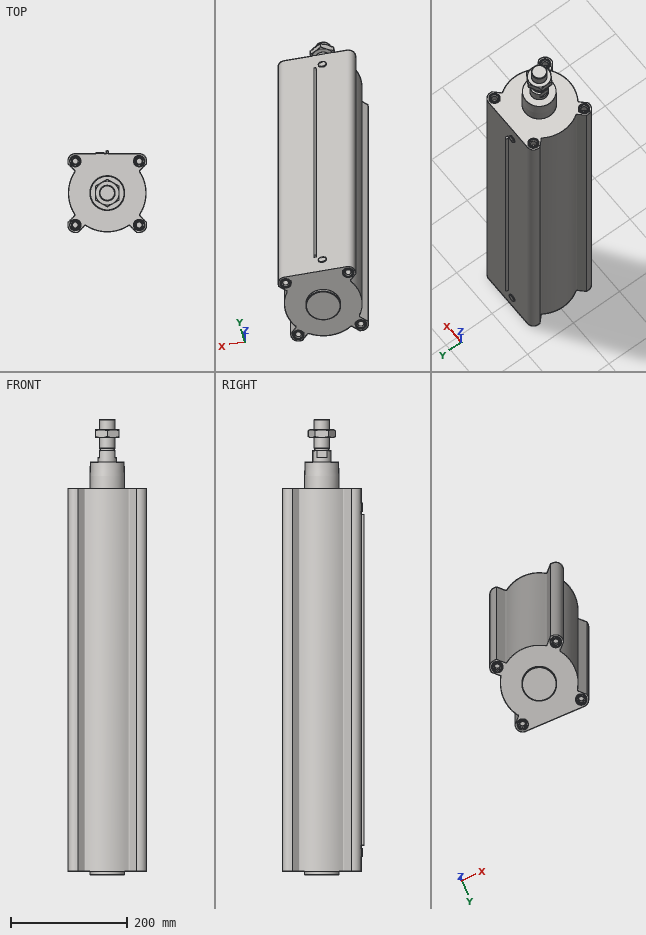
import cadquery as cq
import math

housing_length = 660.0
housing_half_width = 68.0
barrel_radius = 67.0
screw_spacing = 110.0
corner_radius = housing_half_width - screw_spacing / 2
lobe_flat_width = 4.2
valley_radius = 2.0

collar_diameter = 60.0
front_collar_height = 45.0
front_collar_base_height = 21.0
front_collar_nose_diameter = 58.0
rear_collar_height = 6.0
rear_collar_chamfer = 1.0

screw_recess_diameter = 19.6
screw_recess_depth = 4.0
screw_head_diameter = 18.0
screw_thread_diameter = 10.11
screw_thread_depth = 16.0
screw_countersink_diameter = 14.0

rail_width = 4.0
rail_height = 5.0
rail_edge_radius = 1.5
rail_end_distance = 45.0
pad_diameter = 14.0
pad_height = 2.0
pad_offset_x = -12.5
pad_end_distance = 32.5

rod_diameter = 32.0
rod_shoulder_distance = 65.0
rod_flat_width = 27.0
rod_flat_length = 12.0
thread_diameter = 27.0
thread_core_diameter = 24.84
thread_length = 54.0
undercut_diameter = 24.3
undercut_length = 3.5

nut_sides = 6
nut_width = 41.0
nut_thickness = 13.5
nut_tip_distance = 18.0
nut_chamfer_angle = math.radians(30)

front_collar_top = housing_length + front_collar_height
shoulder_level = housing_length + rod_shoulder_distance
rod_tip_level = shoulder_level + thread_length
nut_top_level = rod_tip_level - nut_tip_distance
nut_bottom_level = nut_top_level - nut_thickness

screw_offsets = (-screw_spacing / 2, screw_spacing / 2)
screw_centres = [(x, y) for x in screw_offsets for y in screw_offsets]


def cylinder(diameter, bottom, top):
    return cq.Workplane("XY", origin=(0, 0, bottom)).circle(diameter / 2).extrude(top - bottom)


def make_lobe():
    """One corner lobe, at (-X, -Y): a rounded square whose 45 degree flanks run into the barrel."""
    outer = -housing_half_width
    rounding_end = outer + corner_radius
    flat_end = rounding_end + lobe_flat_width
    flank_length = -flat_end
    arc_middle = rounding_end - corner_radius * math.sqrt(0.5)
    return (
        cq.Workplane("XY")
        .moveTo(outer, flat_end)
        .lineTo(outer, rounding_end)
        .threePointArc((arc_middle, arc_middle), (rounding_end, outer))
        .lineTo(flat_end, outer)
        .lineTo(flat_end + flank_length, outer + flank_length)
        .lineTo(outer + flank_length, flat_end + flank_length)
        .close()
        .extrude(housing_length)
    )


def is_valley(edge):
    """True for the edges where the lobe flanks meet the barrel, but not for the barrel's seam at y = 0."""
    tolerance = 0.01
    centre = edge.Center()
    on_barrel = abs(math.hypot(centre.x, centre.y) - barrel_radius) < tolerance
    return on_barrel and abs(centre.y) > tolerance


def make_profile():
    """Round barrel with four corner lobes, filled out to a flat face on the +Y side."""
    profile = cylinder(2 * barrel_radius, 0, housing_length)
    lobe = make_lobe()
    for quarter in range(4):
        profile = profile.union(lobe.rotate((0, 0, 0), (0, 0, 1), 90 * quarter))
    filling = cq.Workplane("XY").rect(screw_spacing, housing_half_width, centered=(True, False))
    profile = profile.union(filling.extrude(housing_length))
    valleys = profile.edges("|Z").filter(is_valley)
    return profile.newObject(valleys.vals()).fillet(valley_radius)


def make_corner_screw(depth_direction):
    """Cutter for one screw flush with the face: the gap around its head and its countersunk hole."""
    gap = (
        cq.Workplane("XY")
        .circle(screw_recess_diameter / 2)
        .circle(screw_head_diameter / 2)
        .extrude(depth_direction * screw_recess_depth)
    )
    hole = (
        cq.Workplane("XY")
        .circle(screw_thread_diameter / 2)
        .extrude(depth_direction * screw_thread_depth)
    )
    countersink_depth = (screw_countersink_diameter - screw_thread_diameter) / 2
    countersink = (
        cq.Workplane("XY")
        .circle(screw_countersink_diameter / 2)
        .workplane(offset=depth_direction * countersink_depth)
        .circle(screw_thread_diameter / 2)
        .loft(ruled=True)
    )
    return gap.union(hole).union(countersink)


def make_front_collar():
    """Cylindrical base with a slightly tapered nose."""
    base_top = housing_length + front_collar_base_height
    base = cylinder(collar_diameter, housing_length, base_top)
    nose = (
        cq.Workplane("XY", origin=(0, 0, base_top))
        .circle(collar_diameter / 2)
        .workplane(offset=front_collar_height - front_collar_base_height)
        .circle(front_collar_nose_diameter / 2)
        .loft(ruled=True)
    )
    return base.union(nose)


def make_rear_collar():
    collar = cylinder(collar_diameter, -rear_collar_height, 0)
    return collar.faces("<Z").chamfer(rear_collar_chamfer)


def make_rail():
    return (
        cq.Workplane("XY", origin=(0, housing_half_width, rail_end_distance))
        .rect(rail_width, rail_height, centered=(True, False))
        .extrude(housing_length - 2 * rail_end_distance)
        .edges("|Z and >Y")
        .fillet(rail_edge_radius)
    )


def make_pad(level):
    return (
        cq.Workplane("XZ", origin=(pad_offset_x, housing_half_width, level))
        .circle(pad_diameter / 2)
        .extrude(-pad_height)
    )


def make_housing():
    housing = make_profile().union(make_front_collar()).union(make_rear_collar()).union(make_rail())
    for level in (pad_end_distance, housing_length - pad_end_distance):
        housing = housing.union(make_pad(level))
    for x, y in screw_centres:
        housing = housing.cut(make_corner_screw(1).translate((x, y, 0)))
        housing = housing.cut(make_corner_screw(-1).translate((x, y, housing_length)))
    return housing.cut(cylinder(rod_diameter, housing_length, front_collar_top))


def make_rod():
    """Shank with two spanner flats on the X sides, an undercut and a chamfered thread."""
    shank = cylinder(rod_diameter, housing_length, shoulder_level)
    for side in (-1, 1):
        beyond_flat = (
            cq.Workplane("XY", origin=(side * (rod_flat_width + rod_diameter) / 2, 0, shoulder_level))
            .rect(rod_diameter, rod_diameter)
            .extrude(-rod_flat_length)
        )
        shank = shank.cut(beyond_flat)
    undercut_top = shoulder_level + undercut_length
    undercut = cylinder(undercut_diameter, shoulder_level, undercut_top)
    thread = (
        cylinder(thread_diameter, undercut_top, rod_tip_level)
        .faces(">Z or <Z")
        .chamfer((thread_diameter - thread_core_diameter) / 2)
    )
    return shank.union(undercut).union(thread)


def make_nut():
    """Hexagon with corners on the Y axis, and both end faces chamfered to a circle."""
    corner_diameter = nut_width / math.cos(math.pi / nut_sides)
    corner_overhang = (corner_diameter - nut_width) / 2
    chamfer_drop = corner_overhang * math.tan(nut_chamfer_angle)
    hexagon = (
        cq.Workplane("XY", origin=(0, 0, nut_bottom_level))
        .polygon(nut_sides, corner_diameter)
        .extrude(nut_thickness)
        .rotate((0, 0, 0), (0, 0, 1), 90)
    )
    rounding = (
        cylinder(corner_diameter, nut_bottom_level, nut_top_level)
        .faces(">Z or <Z")
        .chamfer(chamfer_drop, corner_overhang)
    )
    return hexagon.intersect(rounding).cut(
        cylinder(thread_diameter, nut_bottom_level, nut_top_level)
    )


housing = make_housing()
rod = make_rod()
nut = make_nut()

result = cq.Compound.makeCompound([housing.val(), rod.val(), nut.val()])